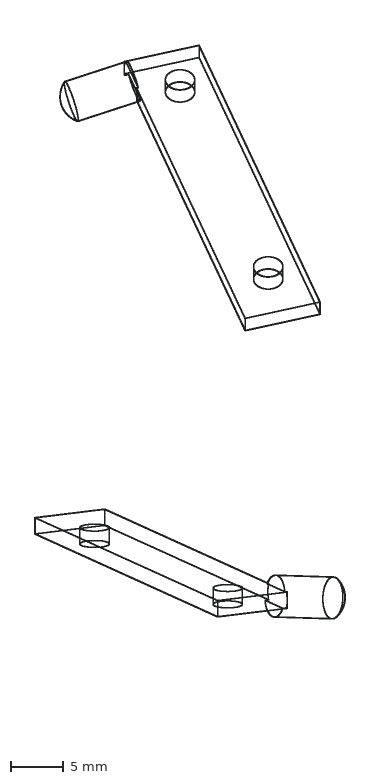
import cadquery as cq
import math

plate_length = 37.76
plate_width = 7.5
plate_thickness = 1.6

hole_diameter = 2.8
hole_edge_distance = 3.2
first_hole_x = 4.05
hole_spacing = 27.5

pin_diameter = 4.0
pin_center_x = 2.05
pin_straight_length = 6.28
dome_height = 1.0
pin_tilt = 8.0
pin_rise = 1.17

pin_radius = pin_diameter / 2
dome_radius = (pin_radius**2 + dome_height**2) / (2 * dome_height)


def make_plate():
    """Flat bar with a row of through holes."""
    plate = cq.Workplane("XY").box(plate_length, plate_width, plate_thickness, centered=False)
    hole_y = plate_width - hole_edge_distance
    hole_centers = [(first_hole_x, hole_y), (first_hole_x + hole_spacing, hole_y)]
    cutters = (
        cq.Workplane("XY")
        .pushPoints(hole_centers)
        .circle(hole_diameter / 2)
        .extrude(plate_thickness)
    )
    return plate.cut(cutters)


def make_pin():
    """Round pin with a spherical tip, beside the left end of the plate.

    The top of its flat inner end lies directly above the front edge of the plate.
    """
    tilt = math.radians(pin_tilt)
    base_center = (
        pin_center_x,
        pin_radius * math.sin(tilt),
        plate_thickness + pin_rise - pin_radius * math.cos(tilt),
    )
    pin_plane = cq.Plane(
        origin=base_center,
        xDir=(0, -math.sin(tilt), math.cos(tilt)),
        normal=(1, 0, 0),
    )
    tip_y = pin_straight_length + dome_height
    dome_center_y = tip_y - dome_radius
    half_dome_angle = math.asin(pin_radius / dome_radius) / 2
    dome_middle = (
        dome_radius * math.sin(half_dome_angle),
        dome_center_y + dome_radius * math.cos(half_dome_angle),
    )
    return (
        cq.Workplane(pin_plane)
        .lineTo(pin_radius, 0)
        .lineTo(pin_radius, pin_straight_length)
        .threePointArc(dome_middle, (0, tip_y))
        .close()
        .revolve(360, (0, 0), (0, 1))
    )


result = make_plate().union(make_pin())